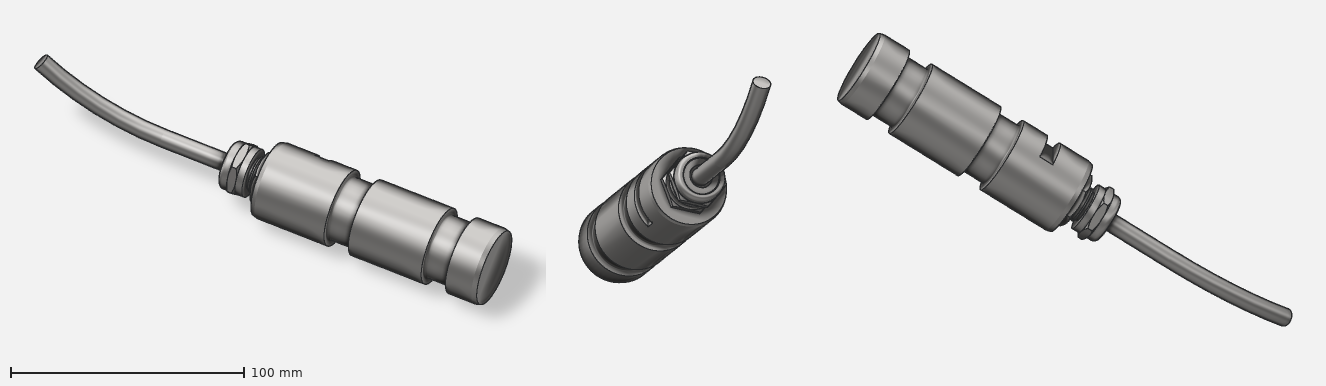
import cadquery as cq
import math


overall_length = 219.6

housing_diameter = 35.0
housing_radius = housing_diameter / 2
housing_length = 108.3
housing_chamfer_length = 2.2
housing_chamfer_depth = 0.55
groove_radius = 14.5
groove_width = 11.6
groove_corner_fillet = 0.99
groove_pitch = 46.5
first_groove_start = 35.4
groove_starts = [first_groove_start, first_groove_start + groove_pitch]
slot_start = 16.7
slot_width = 6.5
slot_depth = 6.1

hex_sides = 6
hex_across_flats = 22.2
hex_turn = 8.5
hex_chamfer_angle = 30.0
hex_corner_radius = hex_across_flats / 2 / math.cos(math.pi / hex_sides)
hex_chamfer_radius = 11.2
hex_chamfer_length = (hex_corner_radius - hex_chamfer_radius) * math.tan(math.radians(hex_chamfer_angle))

body_hex_length = 3.3
collar_radius = 8.0
collar_length = 2.6
collar_rim_radius = 8.1
collar_rim_length = 0.9
neck_radius = 7.0
neck_length = 1.3
gland_body_length = body_hex_length + collar_length + neck_length

cap_radius = 11.0
cap_length = 11.9
cap_fillet = 2.2
cap_hex_length = 4.0
cap_hex_offset = 3.3
cap_rear = -gland_body_length
mouth_radius = 8.0
mouth_depth = 0.7
mouth_chamfer = 0.33
cable_recess_radius = 5.0
cable_recess_depth = 1.3

cable_diameter = 8.0
cable_radius = cable_diameter / 2
bend_radius = 98.2
bend_angle = 37.0
bend_reach = (bend_radius + cable_radius) * math.sin(math.radians(bend_angle))
cable_straight_length = overall_length - housing_length - bend_reach


def cylinder(start, length, radius):
    """Cylinder on the X axis, running towards +X from start."""
    return cq.Workplane("YZ", origin=(start, 0, 0)).circle(radius).extrude(length)


def turned_solid(profile):
    """Solid of revolution about X from a closed profile of (x, radius) points."""
    return cq.Workplane("XY").polyline(profile).close().revolve(360, (0, 0, 0), (1, 0, 0))


def chamfered_hexagon(start, length, chamfer_rear):
    """Hexagonal prism on the X axis, its corners coned off at the -X end and, if chosen, at the +X end."""
    prism = (
        cq.Workplane("YZ", origin=(start, 0, 0))
        .transformed(rotate=(0, 0, hex_turn))
        .polygon(hex_sides, 2 * hex_corner_radius)
        .extrude(length)
    )
    end = start + length
    front_profile = [(start, 0), (start, hex_chamfer_radius), (start + hex_chamfer_length, hex_corner_radius)]
    if chamfer_rear:
        rear_profile = [(end - hex_chamfer_length, hex_corner_radius), (end, hex_chamfer_radius), (end, 0)]
    else:
        rear_profile = [(end, hex_corner_radius), (end, 0)]
    return prism.intersect(turned_solid(front_profile + rear_profile))


def groove_cutter(start):
    """Ring that cuts one groove, with rounded corners at the groove's floor."""
    core = cylinder(start, groove_width, groove_radius)
    ring = cylinder(start, groove_width, housing_diameter).cut(core)
    floor_edges = cq.selectors.RadiusNthSelector(0)
    return ring.edges("%CIRCLE").edges(floor_edges).fillet(groove_corner_fillet)


def make_housing():
    """Cylinder with tapered ends, two grooves round it and a slot across its +Y side."""
    end_radius = housing_radius - housing_chamfer_depth
    housing = turned_solid(
        [
            (0, 0),
            (0, end_radius),
            (housing_chamfer_length, housing_radius),
            (housing_length - housing_chamfer_length, housing_radius),
            (housing_length, end_radius),
            (housing_length, 0),
        ]
    )
    for start in groove_starts:
        housing = housing.cut(groove_cutter(start))
    slot = (
        cq.Workplane("XY")
        .box(slot_width, slot_depth, housing_diameter, centered=(False, False, True))
        .translate((slot_start, housing_radius - slot_depth, 0))
    )
    return housing.cut(slot)


def make_gland_body():
    """Hexagon against the housing, then a rimmed collar and the neck that meets the cap."""
    collar_front = -body_hex_length - collar_length
    body = chamfered_hexagon(-body_hex_length, body_hex_length, chamfer_rear=False)
    body = body.union(cylinder(collar_front, collar_length, collar_radius))
    body = body.union(cylinder(collar_front, collar_rim_length, collar_rim_radius))
    body = body.union(cylinder(-gland_body_length, neck_length, neck_radius))
    return body.cut(cylinder(-gland_body_length, gland_body_length, cable_radius))


def make_gland_cap():
    """Round cap with a hexagon band, a shallow mouth in its front face and a recess around the cable."""
    front = cap_rear - cap_length
    cap = cylinder(front, cap_length, cap_radius).faces("<X").edges().fillet(cap_fillet)
    hex_start = cap_rear - cap_hex_offset - cap_hex_length
    cap = cap.union(chamfered_hexagon(hex_start, cap_hex_length, chamfer_rear=True))
    mouth = cylinder(front, mouth_depth, mouth_radius + mouth_chamfer).faces(">X").chamfer(mouth_chamfer)
    cap = cap.cut(mouth)
    cap = cap.cut(cylinder(front, mouth_depth + cable_recess_depth, cable_recess_radius))
    return cap.cut(cylinder(front, cap_length, cable_radius))


def make_cable():
    """Straight stretch through the gland, then a bend that rises towards +Z."""
    straight = cylinder(-cable_straight_length, cable_straight_length, cable_radius)
    bend = (
        cq.Workplane("YZ", origin=(-cable_straight_length, 0, 0))
        .circle(cable_radius)
        .revolve(bend_angle, (0, bend_radius, 0), (1, bend_radius, 0))
    )
    return straight.union(bend)


housing = make_housing()
gland_body = make_gland_body()
gland_cap = make_gland_cap()
cable = make_cable()

result = cq.Compound.makeCompound([housing.val(), gland_body.val(), gland_cap.val(), cable.val()])